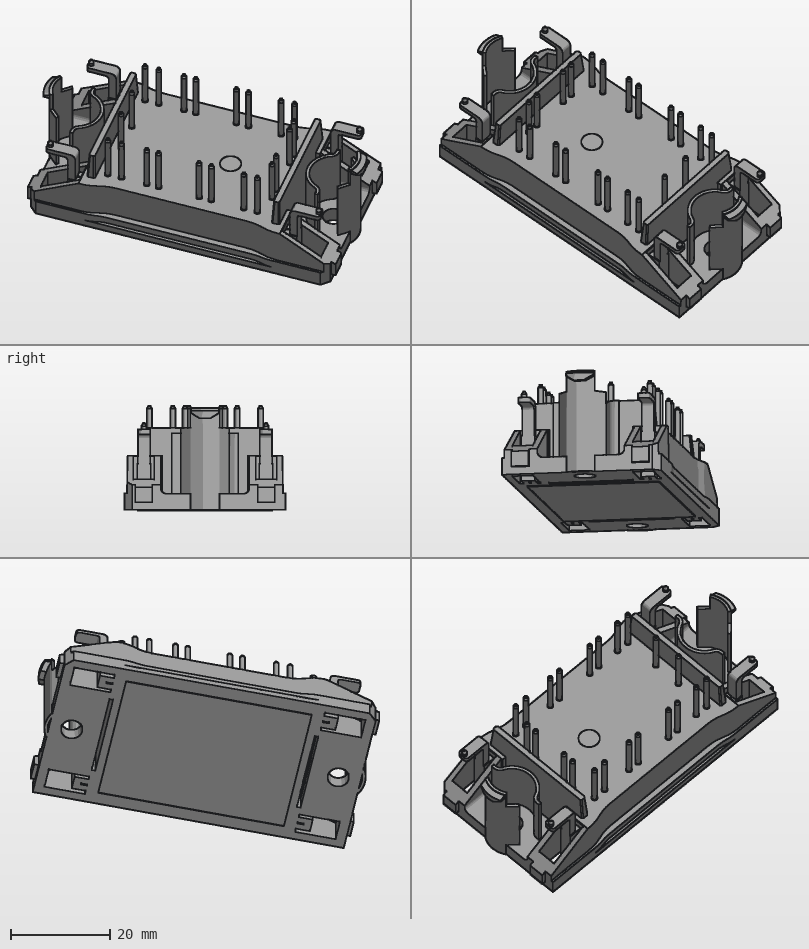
import cadquery as cq
import math

overall_length = 68.4

plate_length = 38.3
plate_width = 27.1
plate_thickness = 0.2

body_length = 64.15
base_width = 32.5
base_top = 3.6
block_width = 31.5
block_waist_width = 29.1
block_waist_start = 13.95
block_waist_end = 21.15
block_draft = 1.0
top_z = 11.15
corner_chamfer = 1.6
body_end = body_length / 2

recess_depth = 0.4
recess_half_length = 15.4
recess_curve_end = 19.9
recess_outer_z = 1.8
recess_inner_z = 2.1

slope_start = 21.55
slope_end_z = 5.3
tab_projection = 0.9
tab_inner_y = 10.6
tab_outer_y = 14.1
tab_bottom = 1.7

channel_width = 17.9
channel_floor = 3.5
channel_fillet = 1.2
slot_inner_bottom_x = 20.8
slot_width = 17.25

window_outer_x = 30.0
window_inner_x = 21.7
window_inner_y = 10.25
window_outer_y = 14.5

hole_x = 27.5
hole_diameter = 4.3
curved_wall_radius = 5.2
curved_wall_thickness = 0.7
guide_angle = 66
guide_flare_radius = 1.45
guide_tip_length = 0.7
guide_top = 15.65
wing_angle = 61
wing_top = 16.75
clip_angle = 32
clip_top = 20.85
hook_reach = overall_length / 2 - hole_x
hook_bottom = 18.7
hook_edge_z = 20.2
hook_outline = [(2.8, clip_top), (2.8, 19.8), (1.85, 19.15), (1.0, hook_bottom)]

terminal_y = 12.3
terminal_width = 2.45
terminal_top = 16.5
arm_thickness = 1.0
arm_end_x = 29.35
arm_corner = 0.7
leg_outer_x = 24.55
leg_inner_x = 23.0
bend_outer_radius = 1.1
bend_inner_radius = 0.75
support_width = 2.8
support_top = 9.6
support_slit = 0.3
tip_x = 28.7
tip_diameter = 1.1
tip_shoulder_z = 17.1
tip_top_z = 17.8
tip_flat_diameter = 0.3

rib_x = 19.8
rib_thickness = 1.7
rib_length = 26.4
rib_top_thickness = 1.2
rib_top_length = 25.2
rib_top = 16.75
rib_corner = 0.3

mark_x = 5.5
mark_diameter = 4.3
mark_depth = 0.1

pin_diameter = 1.1
pin_collar_diameter = 1.2
pin_collar_height = 0.2
pin_shoulder_z = 20.65
pin_neck_z = 21.1
pin_tip_diameter = 0.55
pin_top = 21.3
pin_row_y = 11.2
pin_row_x = [-16.8, -13.9, -8.5, -5.95, 2.75, 5.35, 12.3, 15.2]
left_pin_x = pin_row_x[0]
left_pin_y = [-3.2, 3.2]
right_pin_x = 16.7
right_pin_y = [-6.5, -4.05, 4.05, 6.5]


def box(x0, x1, y0, y1, z0, z1):
    """Axis-aligned box between two corners."""
    return cq.Workplane("XY").box(x1 - x0, y1 - y0, z1 - z0, centered=False).translate((x0, y0, z0))


def waisted_outline(half_length, half_width, waist_half_width, waist_start, waist_end, z):
    """Rectangle whose long sides step inward along S-curves to a narrower middle."""
    middle_x = (waist_start + waist_end) / 2
    middle_y = (half_width + waist_half_width) / 2
    outline = cq.Workplane("XY").workplane(offset=z).moveTo(-half_length, half_width)
    for side in (1, -1):
        outline = (
            outline.lineTo(-side * waist_end, side * half_width)
            .tangentArcPoint((-side * middle_x, side * middle_y), relative=False)
            .tangentArcPoint((-side * waist_start, side * waist_half_width), relative=False)
            .lineTo(side * waist_start, side * waist_half_width)
            .tangentArcPoint((side * middle_x, side * middle_y), relative=False)
            .tangentArcPoint((side * waist_end, side * half_width), relative=False)
            .lineTo(side * half_length, side * half_width)
        )
        if side == 1:
            outline = outline.lineTo(half_length, -half_width)
    return outline.close()


def polar_point(center, radius, angle):
    """Point at a radius and an angle in degrees about a center."""
    turn = math.radians(angle)
    return (center[0] + radius * math.cos(turn), center[1] + radius * math.sin(turn))


def ring_sector(center, radius, thickness, start, end, z0, z1):
    """Upright curved wall about a vertical axis, between two angles in degrees."""
    inner = radius - thickness / 2
    outer = radius + thickness / 2
    middle = (start + end) / 2
    return (
        cq.Workplane("XY")
        .workplane(offset=z0)
        .moveTo(*polar_point(center, inner, start))
        .threePointArc(polar_point(center, inner, middle), polar_point(center, inner, end))
        .lineTo(*polar_point(center, outer, end))
        .threePointArc(polar_point(center, outer, middle), polar_point(center, outer, start))
        .close()
        .extrude(z1 - z0)
    )


def make_base():
    half_width = base_width / 2
    base = box(-body_end, body_end, -half_width, half_width, plate_thickness, base_top)
    wall_y = half_width - recess_depth
    core = waisted_outline(
        body_end, half_width, wall_y, recess_half_length, recess_curve_end, plate_thickness
    ).extrude(base_top - plate_thickness)
    floor = (
        cq.Workplane("YZ")
        .moveTo(-half_width, plate_thickness)
        .lineTo(-half_width, recess_outer_z)
        .lineTo(-wall_y, recess_inner_z)
        .lineTo(wall_y, recess_inner_z)
        .lineTo(half_width, recess_outer_z)
        .lineTo(half_width, plate_thickness)
        .close()
        .extrude(body_end, both=True)
    )
    return core.union(base.intersect(floor))


def make_housing():
    half_width = block_width / 2
    block = waisted_outline(
        body_length, half_width, block_waist_width / 2, block_waist_start, block_waist_end, base_top
    ).extrude(top_z - base_top, taper=block_draft)
    block = block.intersect(box(-body_end, body_end, -half_width, half_width, base_top, top_z))
    housing = make_base().union(block)
    for side in (1, -1):
        corner_x = side * body_end
        corner_y = -base_width / 2
        corner = (
            cq.Workplane("XY")
            .moveTo(corner_x, corner_y)
            .lineTo(corner_x - side * corner_chamfer, corner_y)
            .lineTo(corner_x, corner_y + corner_chamfer)
            .close()
            .extrude(top_z)
        )
        housing = housing.cut(corner)
    return housing


def make_end_tabs():
    tabs = cq.Workplane("XY")
    tab = box(-body_end - tab_projection, -window_outer_x, tab_inner_y, tab_outer_y, tab_bottom, top_z)
    return tabs.union(tab).union(tab.mirror("XZ"))


def make_end_cut():
    """Everything removed from the left end: slope, channel, slot, windows and mounting hole."""
    reach = overall_length / 2
    half_width = base_width / 2
    slope_rate = (top_z - slope_end_z) / (body_end - slope_start)
    slope = (
        cq.Workplane("XZ")
        .moveTo(-slope_start, top_z)
        .lineTo(-reach, top_z - slope_rate * (reach - slope_start))
        .lineTo(-reach, top_z)
        .close()
        .extrude(half_width, both=True)
    )
    channel = box(
        -reach, -slope_start, -channel_width / 2, channel_width / 2, channel_floor, top_z
    ).edges("|X and <Z").fillet(channel_fillet)
    slot = (
        cq.Workplane("XZ")
        .moveTo(-slope_start, 0)
        .lineTo(-slope_start, top_z)
        .lineTo(-rib_x - rib_thickness / 2, top_z)
        .lineTo(-slot_inner_bottom_x, 0)
        .close()
        .extrude(slot_width / 2, both=True)
    )
    window = box(-window_outer_x, -window_inner_x, window_inner_y, window_outer_y, 0, top_z)
    hole = cq.Workplane("XY").center(-hole_x, 0).circle(hole_diameter / 2).extrude(top_z)
    return slope.union(channel).union(slot).union(window).union(window.mirror("XZ")).union(hole)


def make_guide_wall():
    """Curved wall inboard of the mounting hole, with its ends flared outward."""
    center = (-hole_x, 0)
    thickness = curved_wall_thickness
    wall = ring_sector(
        center, curved_wall_radius, thickness, -guide_angle, guide_angle, plate_thickness, guide_top
    )
    flare_center = polar_point(center, curved_wall_radius + guide_flare_radius, guide_angle)
    flare = ring_sector(
        flare_center, guide_flare_radius, thickness, 180, 180 + guide_angle, plate_thickness, guide_top
    )
    tip_center_x = flare_center[0] - guide_flare_radius
    tip = box(
        tip_center_x - thickness / 2, tip_center_x + thickness / 2,
        flare_center[1], flare_center[1] + guide_tip_length, plate_thickness, guide_top,
    )
    flared_end = flare.union(tip)
    return wall.union(flared_end).union(flared_end.mirror("XZ"))


def make_clip():
    """Tall outboard clip with a hook at its top and a lower flat wing on each side."""
    center = (-hole_x, 0)
    radius = curved_wall_radius
    thickness = curved_wall_thickness
    clip = ring_sector(
        center, radius, thickness, 180 - clip_angle, 180 + clip_angle, plate_thickness, clip_top
    )
    inner = radius - thickness / 2
    outer = radius + thickness / 2
    wing = (
        cq.Workplane("XY")
        .workplane(offset=channel_floor)
        .moveTo(*polar_point(center, inner, 180 - clip_angle))
        .lineTo(*polar_point(center, outer, 180 - clip_angle))
        .lineTo(*polar_point(center, outer, 180 - wing_angle))
        .lineTo(*polar_point(center, inner, 180 - wing_angle))
        .close()
        .extrude(wing_top - channel_floor)
    )
    hook = (
        cq.Workplane("XZ")
        .moveTo(radius, hook_bottom)
        .lineTo(hook_reach, hook_bottom)
        .lineTo(hook_reach, hook_edge_z)
        .lineTo(radius, clip_top)
        .close()
        .revolve(2 * clip_angle, (0, 0, 0), (0, 1, 0))
    )
    swept_side = math.copysign(1, hook.val().Center().y)
    hook = hook.rotate((0, 0, 0), (0, 0, 1), 180 - swept_side * clip_angle).translate((-hole_x, 0, 0))
    mirrored = [(-y, z) for y, z in reversed(hook_outline)]
    hook_limits = cq.Workplane("YZ").polyline(hook_outline + mirrored).close()
    hook = hook.intersect(hook_limits.extrude(-overall_length / 2))
    return clip.union(wing).union(wing.mirror("XZ")).union(hook)


def make_terminal():
    """Angled terminal at the +Y side of the left end, with the support behind its leg."""
    arm_bottom = terminal_top - arm_thickness
    profile = (
        cq.Workplane("XZ")
        .moveTo(-leg_inner_x, plate_thickness)
        .lineTo(-leg_inner_x, terminal_top)
        .lineTo(-arm_end_x, terminal_top)
        .lineTo(-arm_end_x, arm_bottom)
        .lineTo(-leg_outer_x, arm_bottom)
        .lineTo(-leg_outer_x, plate_thickness)
        .close()
        .extrude(terminal_width / 2, both=True)
    )
    bent = (
        profile.edges("|Y").edges(">X and >Z").fillet(bend_outer_radius)
        .edges(cq.selectors.NearestToPointSelector((-leg_outer_x, 0, arm_bottom))).fillet(bend_inner_radius)
        .edges("|Z and <X").fillet(arm_corner)
    )
    half_support = support_width / 2
    support = box(
        -leg_outer_x, -window_inner_x, -half_support, half_support, plate_thickness, support_top
    )
    slit = box(
        -leg_inner_x, -window_inner_x, -support_slit / 2, support_slit / 2, plate_thickness, support_top
    )
    tip = (
        cq.Workplane("XZ")
        .moveTo(0, arm_bottom)
        .lineTo(tip_diameter / 2, arm_bottom)
        .lineTo(tip_diameter / 2, tip_shoulder_z)
        .lineTo(tip_flat_diameter / 2, tip_top_z)
        .lineTo(0, tip_top_z)
        .close()
        .revolve(360, (0, 0, 0), (0, 1, 0))
        .translate((-tip_x, 0, 0))
    )
    return bent.union(support.cut(slit)).union(tip).translate((0, terminal_y, 0))


def make_rib():
    """Rib tapering toward its top, with its upright corners chamfered."""
    return (
        cq.Workplane("XY")
        .workplane(offset=top_z)
        .center(-rib_x, 0)
        .rect(rib_thickness, rib_length)
        .workplane(offset=rib_top - top_z)
        .rect(rib_top_thickness, rib_top_length)
        .loft()
        .edges("not (|X or |Y)")
        .chamfer(rib_corner)
    )


def make_pin():
    """Contact pin on the Z axis: collar, shaft, conical shoulder and narrow tip."""
    return (
        cq.Workplane("XZ")
        .moveTo(0, base_top)
        .lineTo(pin_collar_diameter / 2, base_top)
        .lineTo(pin_collar_diameter / 2, top_z + pin_collar_height)
        .lineTo(pin_diameter / 2, top_z + pin_collar_height)
        .lineTo(pin_diameter / 2, pin_shoulder_z)
        .lineTo(pin_tip_diameter / 2, pin_neck_z)
        .lineTo(pin_tip_diameter / 2, pin_top)
        .lineTo(0, pin_top)
        .close()
        .revolve(360, (0, 0, 0), (0, 1, 0))
    )


tabs = make_end_tabs()
end_cut = make_end_cut()
body = make_housing().union(tabs).union(tabs.mirror("YZ"))
body = body.cut(end_cut).cut(end_cut.mirror("YZ"))
plate = box(-plate_length / 2, plate_length / 2, -plate_width / 2, plate_width / 2, 0, plate_thickness)
body = body.union(plate)

mark = cq.Workplane("XY").workplane(offset=top_z).center(mark_x, 0).circle(mark_diameter / 2)
body = body.cut(mark.extrude(-mark_depth))

terminal = make_terminal()
for fitting in (make_guide_wall(), make_clip(), terminal, terminal.mirror("XZ"), make_rib()):
    body = body.union(fitting).union(fitting.mirror("YZ"))

pin_places = [(x, y) for x in pin_row_x for y in (-pin_row_y, pin_row_y)]
pin_places += [(left_pin_x, y) for y in left_pin_y]
pin_places += [(right_pin_x, y) for y in right_pin_y]
pin = make_pin()
for x, y in pin_places:
    body = body.union(pin.translate((x, y, 0)))

result = body